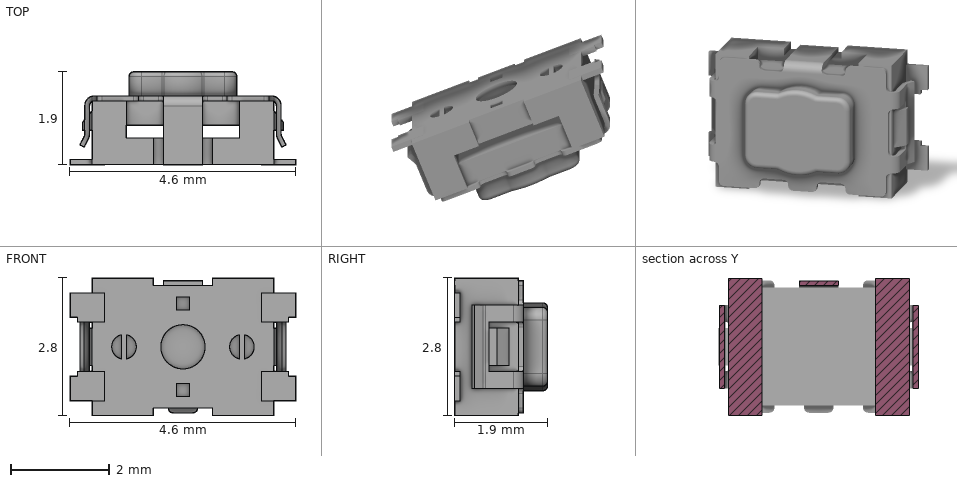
import cadquery as cq
import math


overall_x = 4.6
overall_y = 1.9
sheet = 0.1
small_radius = 0.1

body_x = 3.7
body_z = 2.8
body_front = 0.005
body_back = 1.305
gap_x = 2.3
gap_front = 0.55
gap_back = 0.805
core_z = 2.4
notch_x = 1.2
notch_depth = 0.15

recess_depth = 0.1
center_recess_d = 0.9
side_recess_d = 0.5
side_recess_x = 1.2
side_recess_bar = 0.1
square_side = 0.26
square_z = 0.88

latch_reach = 0.2
latch_z = 0.765
latch_bottom = 0.705
latch_knee = 0.87
latch_top = 1.11

terminal_thickness = 0.115
terminal_inner_x = 1.595
terminal_step_x = 2.155
terminal_z_near = 0.5
terminal_z_step = 0.6
terminal_z_far = 1.1

cover_back = body_back + sheet
cover_z = 1.35
cover_edge_x = 1.753
bend_outer = 2 * sheet
arm_outer_x = 2.0
arm_z = 0.85
window_z = 0.5
window_bottom = latch_bottom
kink_y = 0.63
kink_angle = math.radians(27)
kink_outer_radius = 0.1
lip_length = 0.2
ear_inner_x = 0.9
plate_edge_z = 1.13
strap_x = 0.4
bottom_tab_x = 0.3

button_x = 2.2
button_z = 1.6
button_corner = 0.255
button_disc_d = 1.795


def box(x0, x1, y0, y1, z0, z1):
    return cq.Workplane("XY").box(x1 - x0, y1 - y0, z1 - z0, centered=False).translate((x0, y0, z0))


def block(width, y0, y1, height):
    """Box centred on the Y axis."""
    return box(-width / 2, width / 2, y0, y1, -height / 2, height / 2)


def facing_back(y):
    """Workplane at depth y: local x is X, local y is Z, and a negative extrusion goes toward +Y."""
    return cq.Workplane("XZ", origin=(0, y, 0))


def both_sides(left):
    return left.union(left.mirror("YZ"))


def make_body():
    body = block(body_x, body_front, body_back, body_z)
    body = body.cut(block(gap_x, gap_front, body_back, body_z))
    body = body.union(block(gap_x, gap_back, body_back, core_z))
    notch_floor = body_z / 2 - notch_depth
    for z0, z1 in ((notch_floor, body_z / 2), (-body_z / 2, -notch_floor)):
        body = body.cut(box(-notch_x / 2, notch_x / 2, body_front, gap_front, z0, z1))
    return body


def make_recesses():
    face = facing_back(body_front)
    recesses = face.circle(center_recess_d / 2).extrude(-recess_depth)
    squares = face.pushPoints([(0, square_z), (0, -square_z)])
    recesses = recesses.union(squares.rect(square_side, square_side).extrude(-recess_depth))
    centers = [(-side_recess_x, 0), (side_recess_x, 0)]
    rounds = face.pushPoints(centers).circle(side_recess_d / 2).extrude(-recess_depth)
    bars = face.pushPoints(centers).rect(side_recess_bar, side_recess_d).extrude(-recess_depth)
    return recesses.union(rounds.cut(bars))


def make_latches():
    root = -body_x / 2
    tip = root - latch_reach
    wedge = [(root, latch_bottom), (tip, latch_bottom), (tip, latch_knee), (root, latch_top)]
    return both_sides(cq.Workplane("XY").polyline(wedge).close().extrude(latch_z / 2, both=True))


def make_terminals():
    outer = overall_x / 2
    outline = [
        (-terminal_inner_x, terminal_z_near),
        (-terminal_step_x, terminal_z_near),
        (-terminal_step_x, terminal_z_step),
        (-outer, terminal_z_step),
        (-outer, terminal_z_far),
        (-terminal_inner_x, terminal_z_far),
    ]
    upper_left = facing_back(0).polyline(outline).close().extrude(-terminal_thickness)
    left = upper_left.union(upper_left.mirror("XY"))
    return both_sides(left)


def arm_section():
    """Left half of the cover seen along Z: flat plate, bend, arm, kink and flared lip."""
    outer = -arm_outer_x
    inner = outer + sheet
    bend_x = outer + bend_outer
    bend_y = cover_back - bend_outer
    bend_inner = bend_outer - sheet
    kink_x = outer - kink_outer_radius
    kink_inner_radius = kink_outer_radius + sheet
    lip_x = -lip_length * math.sin(kink_angle)
    lip_y = -lip_length * math.cos(kink_angle)

    def on_bend(radius):
        diagonal = radius * math.sqrt(0.5)
        return (bend_x - diagonal, bend_y + diagonal)

    def on_kink(radius, angle):
        return (kink_x + radius * math.cos(angle), kink_y - radius * math.sin(angle))

    kink_outer_end = on_kink(kink_outer_radius, kink_angle)
    kink_inner_end = on_kink(kink_inner_radius, kink_angle)
    return (
        cq.Workplane("XY")
        .moveTo(0, cover_back)
        .lineTo(bend_x, cover_back)
        .threePointArc(on_bend(bend_outer), (outer, bend_y))
        .lineTo(outer, kink_y)
        .threePointArc(on_kink(kink_outer_radius, kink_angle / 2), kink_outer_end)
        .lineTo(kink_outer_end[0] + lip_x, kink_outer_end[1] + lip_y)
        .lineTo(kink_inner_end[0] + lip_x, kink_inner_end[1] + lip_y)
        .lineTo(*kink_inner_end)
        .threePointArc(on_kink(kink_inner_radius, kink_angle / 2), (inner, kink_y))
        .lineTo(inner, bend_y)
        .threePointArc(on_bend(bend_inner), (bend_x, body_back))
        .lineTo(0, body_back)
        .close()
    )


def strap_section():
    """Top half of the cover seen along X: flat plate, bend and the strap reaching the front face."""
    bend_y = cover_back - bend_outer
    bend_z = cover_z - bend_outer
    bend_inner = bend_outer - sheet

    def on_bend(radius):
        diagonal = radius * math.sqrt(0.5)
        return (bend_y + diagonal, bend_z + diagonal)

    return (
        cq.Workplane("YZ")
        .moveTo(cover_back, 0)
        .lineTo(cover_back, bend_z)
        .threePointArc(on_bend(bend_outer), (bend_y, cover_z))
        .lineTo(0, cover_z)
        .lineTo(0, cover_z - sheet)
        .lineTo(bend_y, cover_z - sheet)
        .threePointArc(on_bend(bend_inner), (body_back, bend_z))
        .lineTo(body_back, 0)
        .close()
    )


def cover_blank():
    """Rounded outline of the cover in X and Z; arms and strap run past their folded ends."""
    arm_end = overall_x / 2
    strap_end = body_z
    window_edge_x = arm_outer_x - bend_outer
    left = [
        (-strap_x, strap_end),
        (-strap_x, plate_edge_z),
        (-ear_inner_x, plate_edge_z),
        (-ear_inner_x, cover_z),
        (-cover_edge_x, cover_z),
        (-cover_edge_x, arm_z),
        (-arm_end, arm_z),
        (-arm_end, window_z),
        (-window_edge_x, window_z),
        (-window_edge_x, -window_z),
        (-arm_end, -window_z),
        (-arm_end, -arm_z),
        (-cover_edge_x, -arm_z),
        (-cover_edge_x, -cover_z),
        (-ear_inner_x, -cover_z),
        (-ear_inner_x, -plate_edge_z),
        (-bottom_tab_x, -plate_edge_z),
        (-bottom_tab_x, -cover_z),
    ]
    right = [(-x, z) for x, z in reversed(left)]
    blank = facing_back(0).polyline(left + right).close().extrude(-overall_y)
    return blank.edges("|Y").fillet(small_radius)


def make_cover():
    blank = cover_blank()
    arms = both_sides(arm_section().extrude(cover_z, both=True))
    strap = strap_section().extrude(strap_x + small_radius, both=True)
    below_window = block(overall_x, 0, window_bottom, 2 * arm_z)
    above_window = block(overall_x, window_bottom, overall_y, 2 * cover_z)
    folded_arms = arms.intersect(blank).intersect(above_window).union(arms.intersect(below_window))
    strap_reach = strap_x + small_radius
    bend_zone = box(-strap_reach, strap_reach, body_back, cover_back, cover_z - bend_outer, cover_z)
    return folded_arms.cut(bend_zone).union(strap.intersect(blank))


def make_button():
    height = overall_y - cover_back
    base = facing_back(cover_back)
    button = base.rect(button_x, button_z).extrude(-height).edges("|Y").fillet(button_corner)
    button = button.union(base.circle(button_disc_d / 2).extrude(-height))
    meeting_x = math.sqrt(button_disc_d**2 - button_z**2) / 2
    reach_x = (meeting_x + button_x / 2 - button_corner) / 2
    corners = cq.selectors.BoxSelector((-reach_x, 0, -button_z), (reach_x, overall_y, button_z))
    button = button.edges("|Y").edges(corners).fillet(small_radius)
    return button.faces(">Y").edges().fillet(small_radius)


result = (
    make_body()
    .cut(make_recesses())
    .union(make_latches())
    .union(make_terminals())
    .union(make_cover())
    .union(make_button())
)